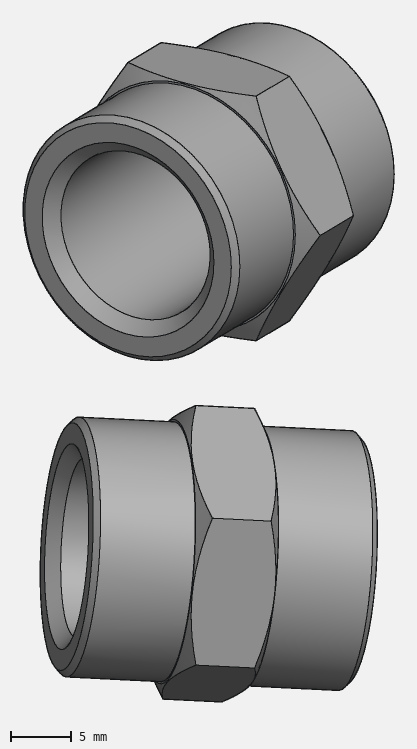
import cadquery as cq
import math

length = 24.0
across_corners = 25.4
collar_width = 7.0
body_diameter = 21.5
end_chamfer = 0.5
bore_diameter = 14.78
mouth_diameter = 17.02
mouth_half_angle = 45.0
collar_face_diameter = 21.85
collar_chamfer_angle = 30.0
corner_clearance = 0.25

half_length = length / 2
half_collar = collar_width / 2
corner_radius = across_corners / 2
body_radius = body_diameter / 2
bore_radius = bore_diameter / 2
mouth_radius = mouth_diameter / 2
collar_face_radius = collar_face_diameter / 2
mouth_depth = (mouth_radius - bore_radius) / math.tan(math.radians(mouth_half_angle))


def revolve_about_y(half_profile):
    """Mirror (radius, y) points across y = 0 and turn the closed outline about Y."""
    mirrored = [(radius, -y) for radius, y in reversed(half_profile)]
    outline = cq.Workplane("XY").polyline(half_profile + mirrored).close()
    return outline.revolve(360, (0, 0, 0), (0, 1, 0))


def make_body():
    return (
        cq.Workplane("XZ")
        .circle(body_radius)
        .extrude(half_length, both=True)
        .faces("<Y or >Y")
        .edges()
        .chamfer(end_chamfer)
    )


def make_collar():
    """Hexagon with corners on the X axis, its corners turned off by a cone at each end."""
    hexagon = cq.Workplane("XZ").polygon(6, across_corners).extrude(half_collar, both=True)
    envelope_radius = corner_radius + corner_clearance
    drop = (envelope_radius - collar_face_radius) * math.tan(math.radians(collar_chamfer_angle))
    envelope = revolve_about_y([
        (0, half_collar),
        (collar_face_radius, half_collar),
        (envelope_radius, half_collar - drop),
    ])
    return hexagon.intersect(envelope)


def make_bore():
    """Through bore with a countersunk mouth at both ends."""
    return revolve_about_y([
        (0, half_length),
        (mouth_radius, half_length),
        (bore_radius, half_length - mouth_depth),
    ])


result = make_body().union(make_collar()).cut(make_bore())